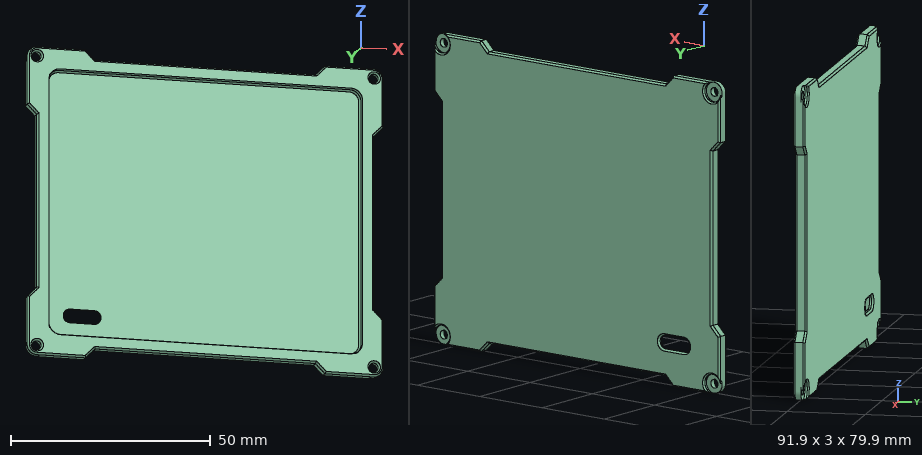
import cadquery as cq

length = 91.9
height = 79.9
thickness = 3.0
front_y = -thickness / 2
back_y = thickness / 2

tab_length = 15.1
step_depth = 2.5
corner_radius = 2.5
edge_chamfer = 0.5

pocket_margin = 5.5
pocket_depth = 2.0
pocket_radius = 2.9
pocket_bevel = 0.5

hole_diameter = 2.2
countersink_diameter = 3.2
counterbore_diameter = 5.1
counterbore_depth = 1.0
counterbore_bevel = 0.41

slot_length = 9.65
slot_width = 3.5
slot_x = -31.3
slot_z = -28.9
slot_bevel = 0.5


def plane_at(y):
    """Workplane facing -Y, with local x along X and local y along Z."""
    return cq.Workplane("XZ", origin=(0, y, 0))


def side_recess(side_length, side_offset):
    """Trapezoid with 45 degree ends, removed from the middle of the upper side."""
    half_opening = side_length / 2 - tab_length
    half_floor = half_opening - step_depth
    floor = side_offset - step_depth
    outline = [
        (-half_opening, side_offset),
        (-half_floor, floor),
        (half_floor, floor),
        (half_opening, side_offset),
    ]
    return plane_at(back_y).polyline(outline).close().extrude(thickness)


def plate():
    """Rounded plate, recessed along each side and chamfered around both faces."""
    body = plane_at(back_y).rect(length, height).extrude(thickness)
    body = body.edges("|Y").fillet(corner_radius)
    long_recess = side_recess(length, height / 2)
    short_recess = side_recess(height, length / 2)
    recess_turns = ((long_recess, 0), (short_recess, 90), (long_recess, 180), (short_recess, 270))
    for recess, turn in recess_turns:
        body = body.cut(recess.rotate((0, 0, 0), (0, 1, 0), turn))
    return body.faces("<Y or >Y").edges().chamfer(edge_chamfer)


def pocket():
    """Round-cornered pocket, narrowing at the bevel around its floor."""
    return (
        plane_at(front_y + pocket_depth)
        .rect(length - 2 * pocket_margin, height - 2 * pocket_margin)
        .extrude(pocket_depth)
        .edges("|Y")
        .fillet(pocket_radius)
        .faces(">Y")
        .edges()
        .chamfer(pocket_bevel)
    )


def slot():
    """Obround window through the pocket floor, flaring out at the back face."""
    slot_plane = plane_at(back_y).center(slot_x, slot_z)
    window = slot_plane.slot2D(slot_length, slot_width).extrude(thickness)
    mouth_length = slot_length + 2 * slot_bevel
    mouth_width = slot_width + 2 * slot_bevel
    mouth = slot_plane.slot2D(mouth_length, mouth_width).extrude(slot_bevel, taper=45)
    return window.union(mouth)


def screw_hole():
    """Through hole on the Y axis, countersunk at the front and counterbored at the back."""
    hole_radius = hole_diameter / 2
    countersink_radius = countersink_diameter / 2
    countersink_depth = countersink_radius - hole_radius
    counterbore_radius = counterbore_diameter / 2
    counterbore_floor = back_y - counterbore_depth
    half_profile = [
        (0, front_y),
        (countersink_radius, front_y),
        (hole_radius, front_y + countersink_depth),
        (hole_radius, counterbore_floor),
        (counterbore_radius, counterbore_floor),
        (counterbore_radius, back_y - counterbore_bevel),
        (counterbore_radius + counterbore_bevel, back_y),
        (0, back_y),
    ]
    return cq.Workplane("XY").polyline(half_profile).close().revolve(360, (0, 0, 0), (0, 1, 0))


result = plate().cut(pocket()).cut(slot())
hole_x = length / 2 - corner_radius
hole_z = height / 2 - corner_radius
for x in (-hole_x, hole_x):
    for z in (-hole_z, hole_z):
        result = result.cut(screw_hole().translate((x, 0, z)))